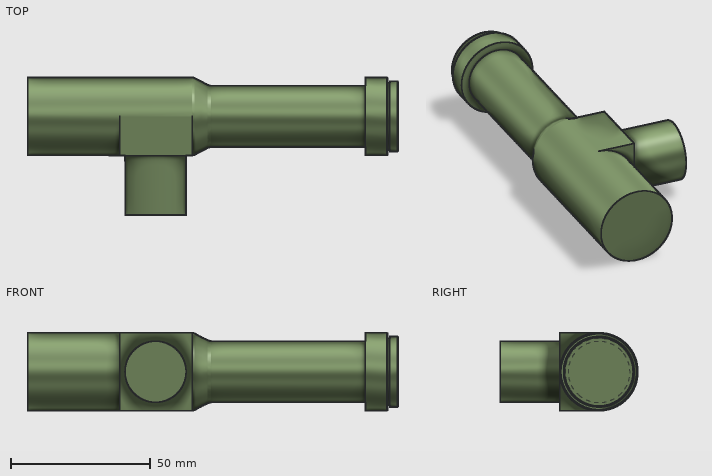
import cadquery as cq

total_length = 132.9
body_diameter = 28.0
pipe_diameter = 22.0
branch_diameter = 21.9
branch_projection = 21.4

block_start = 33.0
body_end = 59.0
branch_center = 45.9

taper_start = 59.4
taper_end = 65.1
body_blend_radius = 1.7
pipe_blend_radius = 2.7

collar_start = 121.1
collar_end = 129.2
ring_start = 129.8
ring_diameter = 25.4
groove_diameter = 24.2
edge_chamfer = 0.4

body_radius = body_diameter / 2
pipe_radius = pipe_diameter / 2


def x_cylinder(diameter, start, end):
    """Cylinder on the main axis between two X positions."""
    return cq.Workplane("YZ", origin=(start, 0, 0)).circle(diameter / 2).extrude(end - start)


def make_tapered_run():
    """Body, blended taper and slimmer pipe as one revolved shape."""
    run = (
        cq.Workplane("XY")
        .polyline([
            (0, 0),
            (0, body_radius),
            (taper_start, body_radius),
            (taper_end, pipe_radius),
            (collar_start, pipe_radius),
            (collar_start, 0),
        ])
        .close()
        .revolve(360, (0, 0, 0), (1, 0, 0))
    )
    run = blend_circle(run, taper_start, body_radius, body_blend_radius)
    return blend_circle(run, taper_end, pipe_radius, pipe_blend_radius)


def blend_circle(solid, position, radius, blend_radius):
    """Fillet the circular edge at one X position."""
    margin = 0.1
    reach = radius + margin
    selector = cq.selectors.BoxSelector(
        (position - margin, -reach, -reach), (position + margin, reach, reach), boundingbox=True
    )
    return solid.edges(selector).fillet(blend_radius)


def make_block():
    """Square-sided half of the body that carries the branch."""
    return cq.Workplane("XY").box(
        body_end - block_start, body_radius, body_diameter, centered=(False, False, True)
    ).translate((block_start, -body_radius, 0))


def make_branch():
    """Side branch running from the main axis toward -Y."""
    return (
        cq.Workplane("XZ", origin=(branch_center, 0, 0))
        .circle(branch_diameter / 2)
        .extrude(body_radius + branch_projection)
    )


def make_collar_end():
    """Collar and end ring, separated by a narrow groove."""
    collar = x_cylinder(body_diameter, collar_start, collar_end).edges(">X").chamfer(edge_chamfer)
    groove = x_cylinder(groove_diameter, collar_end, ring_start)
    ring = x_cylinder(ring_diameter, ring_start, total_length).edges(">X").chamfer(edge_chamfer)
    return collar.union(groove).union(ring)


result = make_tapered_run().union(make_block()).union(make_branch()).union(make_collar_end())